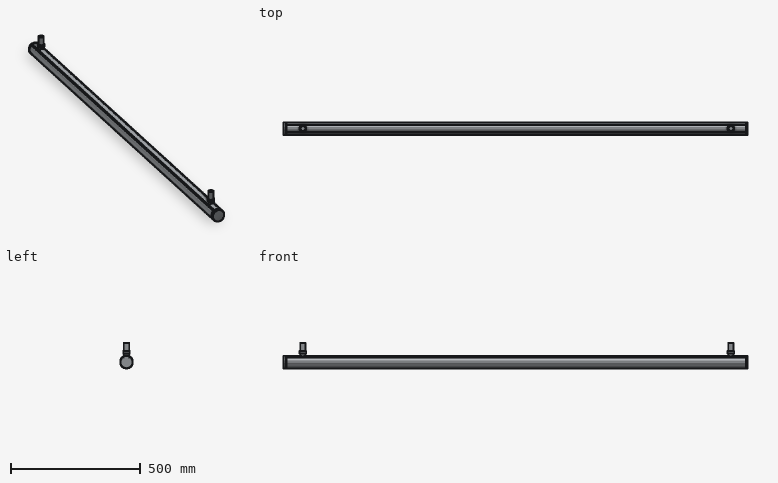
import cadquery as cq
import math

overall_length = 1786.0
overall_height = 100.0

bar_diameter = 50.0
left_cap_length = 9.0
right_cap_length = 4.0
cap_chamfer = 2.0
seam_width = 4.0
seam_depth = 2.0
groove_offset = 15.0
groove_width = 4.0
groove_depth = 4.0

post_spacing = 1647.0
post_shift = 5.0
post_diameter = 21.0
post_bottom = 41.0
post_chamfer = 2.0
flange_diameter = 27.0
flange_bottom = 57.0
flange_top = 68.0
flange_chamfer = 2.0

bar_radius = bar_diameter / 2
grooved_length = overall_length - left_cap_length - right_cap_length
grooved_center = (left_cap_length - right_cap_length) / 2
post_positions = [post_shift + side * post_spacing / 2 for side in (-1, 1)]


def cut_lengthwise_grooves(bar):
    """Two grooves that border the top strip, from cap to cap."""
    surface_height = bar_radius + math.sqrt(bar_radius**2 - groove_offset**2)
    floor_height = surface_height - groove_depth
    for side in (-1, 1):
        origin = (grooved_center, side * groove_offset, floor_height)
        groove = cq.Workplane("XY", origin=origin).box(
            grooved_length, groove_width, bar_radius, centered=(True, True, False)
        )
        bar = bar.cut(groove)
    return bar


def cut_cap_seams(bar):
    """A narrow ring groove between each cap and the long middle of the bar."""
    for side in (-1, 1):
        seam_center = grooved_center + side * (grooved_length - seam_width) / 2
        seam = (
            cq.Workplane("YZ", origin=(seam_center - seam_width / 2, 0, bar_radius))
            .circle(bar_diameter)
            .circle(bar_radius - seam_depth)
            .extrude(seam_width)
        )
        bar = bar.cut(seam)
    return bar


def cut_post_sockets(bar):
    """Blind round sockets in the top strip, one for each post."""
    sockets = (
        cq.Workplane("XY", origin=(0, 0, post_bottom))
        .pushPoints([(x, 0) for x in post_positions])
        .circle(post_diameter / 2)
        .extrude(overall_height - post_bottom)
    )
    return bar.cut(sockets)


def make_bar():
    """Round bar with chamfered ends, seams, lengthwise grooves and post sockets."""
    bar = (
        cq.Workplane("YZ", origin=(-overall_length / 2, 0, bar_radius))
        .circle(bar_radius)
        .extrude(overall_length)
        .faces("<X or >X")
        .chamfer(cap_chamfer)
    )
    bar = cut_lengthwise_grooves(bar)
    bar = cut_cap_seams(bar)
    return cut_post_sockets(bar)


def make_post(x):
    """Upright pin with a chamfered tip and a chamfered flange above the bar."""
    pin = (
        cq.Workplane("XY", origin=(x, 0, post_bottom))
        .circle(post_diameter / 2)
        .extrude(overall_height - post_bottom)
        .faces(">Z")
        .chamfer(post_chamfer)
    )
    flange = (
        cq.Workplane("XY", origin=(x, 0, flange_bottom))
        .circle(flange_diameter / 2)
        .extrude(flange_top - flange_bottom)
        .faces("<Z or >Z")
        .chamfer(flange_chamfer)
    )
    return pin.union(flange)


bar = make_bar()
posts = [make_post(x) for x in post_positions]

result = cq.Compound.makeCompound([bar.val(), *[post.val() for post in posts]])